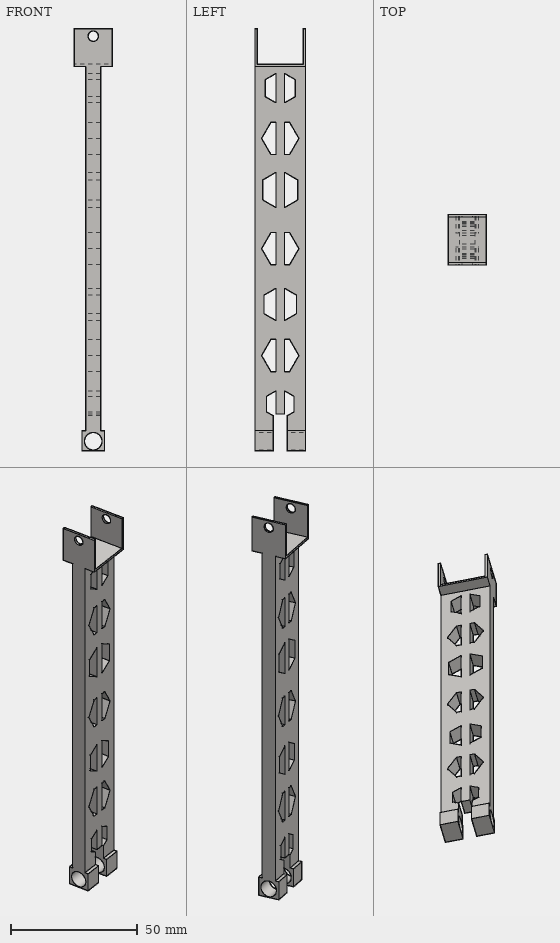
import cadquery as cq
import math

height = 166.9
depth = 20.0

bar_width = 6.0
rib_width = 3.5
rib_bottom = 14.5

bracket_size = 15.0
sheet = 1.0
bracket_bottom = height - bracket_size
pin_hole_diameter = 4.0
pin_hole_z = height - 3.0

foot_width = 9.0
foot_height = 8.0
axle_diameter = 6.8
axle_z = 3.8
slot_width = 5.5

windows = [
    (18.5, 10.7, True),
    (37.7, 12.7, False),
    (57.9, 12.7, True),
    (80.0, 12.7, False),
    (103.1, 13.7, True),
    (123.5, 12.7, False),
    (143.3, 11.7, True),
]


def block(x_size, y_size, z_bottom, z_top):
    """Box centred on the Z axis between two heights."""
    box = cq.Workplane("XY").box(x_size, y_size, z_top - z_bottom, centered=(True, True, False))
    return box.translate((0, 0, z_bottom))


def hexagon_cutter(z, across_flats, points_up):
    """Hexagonal prism along X, through the width of the bar."""
    across_corners = across_flats / math.cos(math.pi / 6)
    prism = cq.Workplane("YZ").polygon(6, across_corners).extrude(bar_width / 2, both=True)
    if points_up:
        prism = prism.rotate((0, 0, 0), (1, 0, 0), 90)
    return prism.translate((0, 0, z))


def cylinder_along_y(diameter, z):
    """Round cutter through the full depth."""
    return cq.Workplane("XZ").center(0, z).circle(diameter / 2).extrude(depth / 2, both=True)


def bracket():
    """Floor and two side plates, open at the top, with a pin hole."""
    body = block(bracket_size, depth, bracket_bottom, height)
    opening = block(bracket_size, depth - 2 * sheet, bracket_bottom + sheet, height)
    return body.cut(opening).cut(cylinder_along_y(pin_hole_diameter, pin_hole_z))


frame = block(bar_width, depth, 0, bracket_bottom)
frame = frame.union(block(foot_width, depth, 0, foot_height))
frame = frame.cut(cylinder_along_y(axle_diameter, axle_z))

lowest_window_z = windows[0][0]
for window in windows:
    frame = frame.cut(hexagon_cutter(*window))
frame = frame.cut(block(foot_width, slot_width, 0, lowest_window_z))

frame = frame.union(block(bar_width, rib_width, rib_bottom, bracket_bottom))

result = frame.union(bracket())